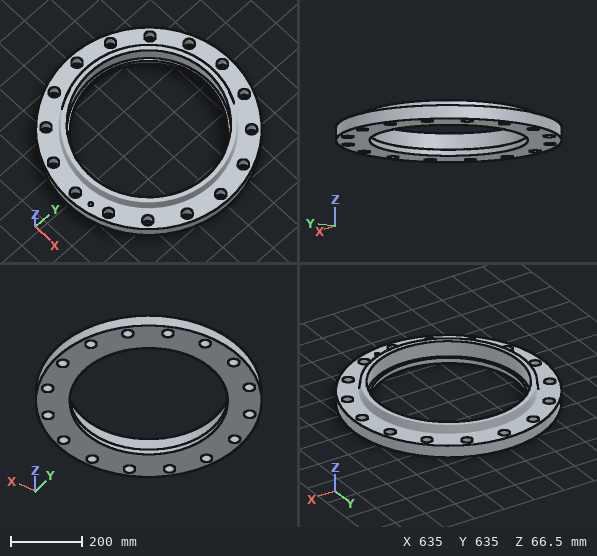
import cadquery as cq

flange_diameter = 635.0
flange_thickness = 38.1
overall_height = 66.55

hub_base_diameter = 504.5
hub_top_diameter = 497.0
hub_top_fillet = 1.5
hub_base_fillet = 1.5

bore_diameter = 444.5
socket_diameter = 461.8
socket_floor_height = 18.0

bolt_count = 16
bolt_circle_diameter = 577.85
bolt_hole_diameter = 31.75

marker_angle = -90 + 180 / bolt_count
marker_diameter = 12.0
marker_depth = 1.0


def cylinder(diameter, bottom, height):
    """Upright cylinder on the part axis."""
    return cq.Workplane("XY").workplane(offset=bottom).circle(diameter / 2).extrude(height)


def flange_with_hub():
    """Solid of revolution: flat plate carrying a tapered hub."""
    profile = (
        cq.Workplane("XZ")
        .moveTo(0, 0)
        .lineTo(flange_diameter / 2, 0)
        .lineTo(flange_diameter / 2, flange_thickness)
        .lineTo(hub_base_diameter / 2, flange_thickness)
        .lineTo(hub_top_diameter / 2, overall_height)
        .lineTo(0, overall_height)
        .close()
    )
    body = profile.revolve(360, (0, 0, 0), (0, 1, 0))
    body = body.faces(">Z").edges().fillet(hub_top_fillet)
    hub_base_edge = cq.selectors.RadiusNthSelector(-2)
    return body.edges("%CIRCLE").edges(hub_base_edge).fillet(hub_base_fillet)


def stepped_bore():
    """Through bore with a wider pipe socket above it."""
    bore = cylinder(bore_diameter, 0, overall_height)
    socket = cylinder(socket_diameter, socket_floor_height, overall_height - socket_floor_height)
    return bore.union(socket)


def bolt_holes():
    """Through holes evenly spaced on the bolt circle."""
    return (
        cq.Workplane("XY")
        .polarArray(bolt_circle_diameter / 2, 0, 360, bolt_count)
        .circle(bolt_hole_diameter / 2)
        .extrude(flange_thickness)
    )


def marker_recess():
    """Shallow round recess in the flange face, on the bolt circle."""
    return (
        cylinder(marker_diameter, flange_thickness - marker_depth, marker_depth)
        .translate((bolt_circle_diameter / 2, 0, 0))
        .rotate((0, 0, 0), (0, 0, 1), marker_angle)
    )


result = flange_with_hub().cut(stepped_bore()).cut(bolt_holes()).cut(marker_recess())